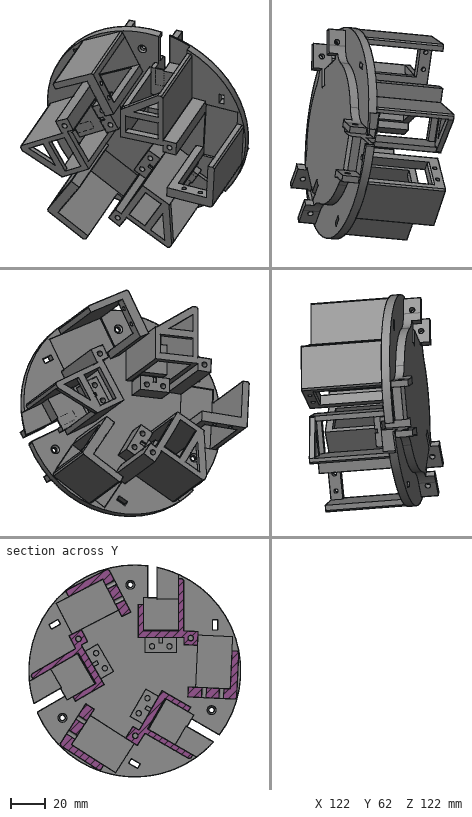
import cadquery as cq
import math

SECTORS = 3
PLATE_RADIUS = 61.0
PLATE_THICKNESS = 5.0
FRONT_DEPTH = 47.0
HUB_HEIGHT = 5.0
FORK_HEIGHT = 10.0

WALL = 3.0
FRAME_INNER_LEFT = 5.0
FRAME_INNER_RIGHT = 25.1
FRAME_LEFT = FRAME_INNER_LEFT - WALL
FRAME_RIGHT = FRAME_INNER_RIGHT + WALL
FRAME_BOTTOM = 19.2
SILL_TOP = 23.0
SILL_DEPTH = 4.0
WINDOW_TOP = 34.2
TRIANGLE_BOTTOM = 38.2
LEFT_WALL_TOP = 38.3
FRAME_TOP = 53.1
SLOPE_START = 2.6
SLOPE_END = 24.9
TRIANGLE_LEFT = 10.2
TRIANGLE_TOP = 48.3
CORNER_CHAMFER = 1.0

BLOCK_DEPTH = 5.6
BLOCK_BOTTOM = 23.7
BLOCK_TOP = 42.1
SLOT_LEFT = 7.6
SLOT_RIGHT = 12.7
SLOT_BOTTOM = 30.5
SLOT_END_WALL = 0.7
REBATE_BOTTOM = 41.4
REBATE_DEPTH = 4.0

SCREW_BLOCK_LEFT = 5.9
SCREW_BLOCK_RIGHT = 24.0
SCREW_BLOCK_BOTTOM = 10.7
SCREW_BLOCK_DEPTH = 12.9
SCREW_DIAMETER = 3.0
SCREW_DEPTH = 10.0
SCREW_SPACING = 10.0
SCREW_Z = 14.1
NOTCH_WIDTH = 2.1
NOTCH_HEIGHT = 3.2
NOTCH_DEPTH = 1.5

BRACKET_TILT = -2.7
LEG_LEFT = 31.1
LEG_BOTTOM = -13.5
LEG_TOP = -7.7
OPENING_LEFT = 35.4
OPENING_RIGHT = 55.3
OPENING_TOP = 22.3
OPENING_DEPTH = 40.0
POCKET_DEPTH = 1.5
BRACKET_RIGHT = 59.3
BRACKET_CHAMFER = 1.0
BRACKET_WALL_TOP = 11.6
LEG_HOLE_DIAMETER = 2.5
LEG_HOLE_SPACING = 10.0
LEG_HOLE_DEPTH = 43.5
BAR_LEFT = 27.1
BAR_BOTTOM = 16.3
BAR_TOP = 24.4

CABLE_SLOT_X = 46.2
CABLE_SLOT_Z = 26.5
CABLE_SLOT_WIDTH = 2.9
CABLE_SLOT_LENGTH = 5.9
SUNK_HOLE_X = -2.6
SUNK_HOLE_Z = 49.5
SUNK_HOLE_DIAMETER = 3.0
SUNK_HEAD_DIAMETER = 5.1
SUNK_ANGLE = 90

HUB_RADIUS = 41.7
FORK_INNER = 12.7
FORK_OUTER = 16.3
FORK_BOTTOM = 42.1
FORK_TOP = 56.8
FORK_FILLET = 15.0
FORK_HOLE_Z = 49.4
FORK_HOLE_DIAMETER = 3.0
HUB_CHAMFER = 2.0
BACK_POCKET_TOP = 58.0
BACK_POCKET_DEPTH = 2.0

TRIMMED_CORNER_X = -55.9
TRIMMED_CORNER_BOTTOM = -25.6
TRIMMED_CORNER_TOP = -21.3


def bar(left, right, bottom, top, start, end):
    """Box between two depths measured forward (-Y) from the plate's front face."""
    face = cq.Workplane("XZ", origin=(0, -start, 0))
    face = face.center((left + right) / 2, (bottom + top) / 2)
    return face.rect(right - left, top - bottom).extrude(end - start)


def rod(x, z, diameter, start, end):
    """Cylinder along Y between two depths measured forward from the front face."""
    face = cq.Workplane("XZ", origin=(0, -start, 0))
    return face.center(x, z).circle(diameter / 2).extrude(end - start)


def turned(shape, angle):
    """Turn a shape about the plate axis, counter-clockwise as seen from the front."""
    return shape.rotate((0, 0, 0), (0, -1, 0), angle)


def motor_frame():
    walls = bar(FRAME_LEFT, FRAME_INNER_LEFT, FRAME_BOTTOM, LEFT_WALL_TOP, 0, FRONT_DEPTH)
    right_wall = bar(FRAME_INNER_RIGHT, FRAME_RIGHT, FRAME_BOTTOM, FRAME_TOP, 0, FRONT_DEPTH)
    walls = walls.union(right_wall.edges("|Y and >X and >Z").chamfer(CORNER_CHAMFER))
    sill = bar(FRAME_LEFT, FRAME_RIGHT, FRAME_BOTTOM, SILL_TOP, FRONT_DEPTH - SILL_DEPTH, FRONT_DEPTH)
    lattice = (
        cq.Workplane("XZ", origin=(0, WALL - FRONT_DEPTH, 0))
        .moveTo(FRAME_LEFT, FRAME_BOTTOM)
        .lineTo(FRAME_INNER_RIGHT, FRAME_BOTTOM)
        .lineTo(FRAME_INNER_RIGHT, FRAME_TOP)
        .lineTo(SLOPE_END, FRAME_TOP)
        .lineTo(SLOPE_START, LEFT_WALL_TOP)
        .lineTo(FRAME_LEFT, LEFT_WALL_TOP)
        .close()
        .extrude(WALL)
    )
    window = bar(FRAME_INNER_LEFT, FRAME_INNER_RIGHT, SILL_TOP, WINDOW_TOP, 0, FRONT_DEPTH)
    triangle = (
        cq.Workplane("XZ")
        .moveTo(TRIANGLE_LEFT, TRIANGLE_BOTTOM)
        .lineTo(FRAME_INNER_RIGHT, TRIANGLE_BOTTOM)
        .lineTo(FRAME_INNER_RIGHT, TRIANGLE_TOP)
        .close()
        .extrude(FRONT_DEPTH)
    )
    block = bar(FRAME_INNER_LEFT, FRAME_INNER_RIGHT, BLOCK_BOTTOM, BLOCK_TOP, 0, BLOCK_DEPTH)
    return walls.union(sill).union(lattice.cut(window).cut(triangle)).union(block)


def screw_block():
    middle = (SCREW_BLOCK_LEFT + SCREW_BLOCK_RIGHT) / 2
    front = SCREW_BLOCK_DEPTH
    block = bar(SCREW_BLOCK_LEFT, SCREW_BLOCK_RIGHT, SCREW_BLOCK_BOTTOM, FRAME_BOTTOM, 0, front)
    notch = bar(middle - NOTCH_WIDTH / 2, middle + NOTCH_WIDTH / 2,
                FRAME_BOTTOM - NOTCH_HEIGHT, FRAME_BOTTOM, front - NOTCH_DEPTH, front)
    block = block.cut(notch)
    for side in (-1, 1):
        x = middle + side * SCREW_SPACING / 2
        block = block.cut(rod(x, SCREW_Z, SCREW_DIAMETER, front - SCREW_DEPTH, front))
    return block


def opening_bevel():
    """Wedge that bevels the outer edge of the opening's front end."""
    return (
        cq.Workplane("YZ", origin=(OPENING_LEFT, 0, 0))
        .moveTo(-OPENING_DEPTH, LEG_BOTTOM)
        .lineTo(-OPENING_DEPTH - BRACKET_CHAMFER, LEG_BOTTOM)
        .lineTo(-OPENING_DEPTH, LEG_BOTTOM + BRACKET_CHAMFER)
        .close()
        .extrude(OPENING_RIGHT - OPENING_LEFT)
    )


def bracket():
    leg = bar(LEG_LEFT, BRACKET_RIGHT, LEG_BOTTOM, LEG_TOP, 0, FRONT_DEPTH)
    leg = leg.cut(bar(OPENING_LEFT, OPENING_RIGHT, LEG_BOTTOM, LEG_TOP, 0, OPENING_DEPTH))
    leg = leg.cut(opening_bevel())
    middle = (OPENING_LEFT + OPENING_RIGHT) / 2
    for side in (-1, 1):
        x = middle + side * LEG_HOLE_SPACING / 2
        hole = cq.Workplane("XY", origin=(x, -LEG_HOLE_DEPTH, LEG_BOTTOM)).circle(LEG_HOLE_DIAMETER / 2)
        leg = leg.cut(hole.extrude(LEG_TOP - LEG_BOTTOM))
    wall = bar(OPENING_RIGHT, BRACKET_RIGHT, LEG_BOTTOM, OPENING_TOP, 0, FRONT_DEPTH)
    above_wall = bar(0, PLATE_RADIUS, BRACKET_WALL_TOP, PLATE_RADIUS, 0, FRONT_DEPTH)
    body = turned(leg.union(wall), BRACKET_TILT).cut(above_wall)
    return body.edges("|Y").edges(">X or <Z").chamfer(BRACKET_CHAMFER)


def screw_bar():
    """Long bar beside the frame, with a screw hole in its front end."""
    body = bar(BAR_LEFT, OPENING_LEFT, BAR_BOTTOM, BAR_TOP, 0, FRONT_DEPTH)
    hole = rod((BAR_LEFT + OPENING_LEFT) / 2, (BAR_BOTTOM + BAR_TOP) / 2, SCREW_DIAMETER,
               FRONT_DEPTH - SCREW_DEPTH, FRONT_DEPTH)
    clearance = bar(FRAME_LEFT, FRAME_INNER_RIGHT + WALL / 2, FRAME_BOTTOM, FRAME_TOP, 0, FRONT_DEPTH)
    corner = bar(FRAME_LEFT, FRAME_RIGHT, 0, FRAME_BOTTOM, 0, FRONT_DEPTH)
    return turned(body.cut(hole), BRACKET_TILT).cut(clearance).cut(corner)


def hinge_fork():
    """Neck that flares from the round hub into two lugs with a shared pin hole."""
    reach = HUB_RADIUS + FORK_FILLET
    fillet_x = FORK_OUTER + FORK_FILLET
    fillet_z = math.sqrt(reach**2 - fillet_x**2)
    tangent_x = fillet_x * HUB_RADIUS / reach
    tangent_z = fillet_z * HUB_RADIUS / reach
    half_turn = math.atan2(fillet_z - tangent_z, fillet_x - tangent_x) / 2
    middle_x = fillet_x - FORK_FILLET * math.cos(half_turn)
    middle_z = fillet_z - FORK_FILLET * math.sin(half_turn)
    outline = (
        cq.Workplane("XZ")
        .moveTo(-tangent_x, tangent_z)
        .threePointArc((-middle_x, middle_z), (-FORK_OUTER, fillet_z))
        .lineTo(-FORK_OUTER, FORK_TOP)
        .lineTo(-FORK_INNER, FORK_TOP)
        .lineTo(-FORK_INNER, FORK_BOTTOM)
        .lineTo(FORK_INNER, FORK_BOTTOM)
        .lineTo(FORK_INNER, FORK_TOP)
        .lineTo(FORK_OUTER, FORK_TOP)
        .lineTo(FORK_OUTER, fillet_z)
        .threePointArc((middle_x, middle_z), (tangent_x, tangent_z))
        .close()
    )
    back = PLATE_THICKNESS + FORK_HEIGHT
    fork = outline.extrude(-back)
    low_part = bar(-PLATE_RADIUS, PLATE_RADIUS, 0, FORK_BOTTOM, -back, -PLATE_THICKNESS - HUB_HEIGHT)
    pin = cq.Workplane("YZ", origin=(-FORK_OUTER, PLATE_THICKNESS + FORK_HEIGHT / 2, FORK_HOLE_Z))
    return fork.cut(low_part).cut(pin.circle(FORK_HOLE_DIAMETER / 2).extrude(2 * FORK_OUTER))


def fork_chamfer():
    """Wedge that bevels the hub's back edge between the lugs."""
    back = PLATE_THICKNESS + HUB_HEIGHT
    return (
        cq.Workplane("YZ", origin=(-FORK_INNER, 0, 0))
        .moveTo(back, FORK_BOTTOM)
        .lineTo(back - HUB_CHAMFER, FORK_BOTTOM)
        .lineTo(back, FORK_BOTTOM - HUB_CHAMFER)
        .close()
        .extrude(2 * FORK_INNER)
    )


def sunk_hole():
    """Countersunk screw hole through the plate."""
    hole = rod(SUNK_HOLE_X, SUNK_HOLE_Z, SUNK_HOLE_DIAMETER, -PLATE_THICKNESS, 0)
    head_radius = SUNK_HEAD_DIAMETER / 2
    head_depth = head_radius / math.tan(math.radians(SUNK_ANGLE / 2))
    mouth = cq.Vector(SUNK_HOLE_X, 0, SUNK_HOLE_Z)
    head = cq.Solid.makeCone(head_radius, 0, head_depth, mouth, cq.Vector(0, 1, 0))
    return hole.union(cq.Workplane(head))


def sector_cuts():
    slot_back = PLATE_THICKNESS + FORK_HEIGHT
    slot_front = BLOCK_DEPTH - SLOT_END_WALL
    slot = bar(SLOT_LEFT, SLOT_RIGHT, SLOT_BOTTOM, PLATE_RADIUS, -slot_back, slot_front)
    rebate = bar(SLOT_RIGHT, FRAME_INNER_RIGHT, REBATE_BOTTOM, PLATE_RADIUS, -REBATE_DEPTH, BLOCK_DEPTH)
    pocket = bar(OPENING_LEFT, OPENING_RIGHT, LEG_BOTTOM, OPENING_TOP, -POCKET_DEPTH, 0)
    cable_slot = bar(CABLE_SLOT_X - CABLE_SLOT_WIDTH / 2, CABLE_SLOT_X + CABLE_SLOT_WIDTH / 2,
                     CABLE_SLOT_Z - CABLE_SLOT_LENGTH / 2, CABLE_SLOT_Z + CABLE_SLOT_LENGTH / 2,
                     -PLATE_THICKNESS, 0)
    back_pocket = bar(-FORK_INNER, SLOT_RIGHT, FORK_BOTTOM, BACK_POCKET_TOP,
                      -PLATE_THICKNESS, BACK_POCKET_DEPTH - PLATE_THICKNESS)
    return [slot, rebate, turned(pocket, BRACKET_TILT), cable_slot, back_pocket, fork_chamfer(), sunk_hole()]


plate = cq.Workplane("XZ").circle(PLATE_RADIUS).extrude(-PLATE_THICKNESS)
hub = cq.Workplane("XZ").circle(HUB_RADIUS).extrude(-PLATE_THICKNESS - HUB_HEIGHT)
angles = [360 * i / SECTORS for i in range(SECTORS)]

result = plate.union(hub)
for angle in angles:
    for piece in (motor_frame(), screw_block(), bracket(), screw_bar(), hinge_fork()):
        result = result.union(turned(piece, angle))
for angle in angles:
    for tool in sector_cuts():
        result = result.cut(turned(tool, angle))

trimmed_corner = bar(-PLATE_RADIUS, TRIMMED_CORNER_X, TRIMMED_CORNER_BOTTOM, TRIMMED_CORNER_TOP,
                     -PLATE_THICKNESS, 0)
result = result.cut(trimmed_corner)